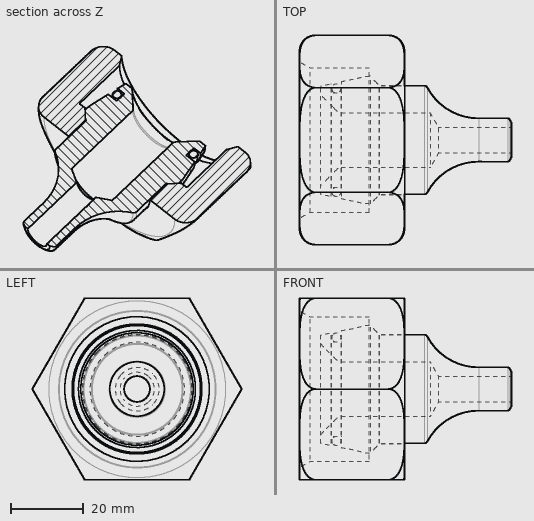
import cadquery as cq
import math


NUT_LENGTH = 29.0
HEX_SIDES = 6
HEX_ACROSS_FLATS = 50.0
HEX_CORNER_DIAMETER = HEX_ACROSS_FLATS / math.cos(math.pi / HEX_SIDES)
HEX_CORNER_ROUNDING = 4.5
THREAD_MINOR_RADIUS = 39.84 / 2
NUT_MOUTH_RADIUS = 21.55
NUT_MOUTH_HALF_ANGLE = math.radians(30)
NUT_MOUTH_ROUNDING = 0.25
NUT_FLOOR_INNER_RADIUS = 17.9
NUT_REAR_HOLE_RADIUS = 30.23 / 2

OVERALL_LENGTH = 58.47
NIPPLE_FACE_X = 5.8
NIPPLE_FACE_RADIUS = 14.9
NIPPLE_FACE_ROUNDING = 0.28
SEAL_CONE_HALF_ANGLE = math.radians(12)
COLLAR_RADIUS = 35 / 2
COLLAR_LENGTH = 1.5
BODY_RADIUS = 30 / 2
STUB_RADIUS = 12 / 2
STUB_LENGTH = 9.1
NECK_ARC_RADIUS = 16.0
SHOULDER_ROUNDING = 1.0
STUB_BEVEL_ANGLE = math.radians(60)
STUB_BEVEL_DEPTH = 1.3
STUB_EDGE_ROUNDING = 0.65

MOUTH_RADIUS = 12.5
MOUTH_ROUNDING = 0.4
BORE_RADIUS = 15 / 2
BORE_EDGE_ROUNDING = 0.8
BORE_START_X = 10.8
BORE_END_X = 36.0
STUB_BORE_RADIUS = 7.04 / 2
DRILL_TIP_HALF_ANGLE = math.radians(60)

GROOVE_START_X = 8.6
GROOVE_WIDTH = 3.0
ORING_SECTION_RADIUS = 1.25
ORING_OUTER_RADIUS = 15.5

COLLAR_START_X = NIPPLE_FACE_X + (COLLAR_RADIUS - NIPPLE_FACE_RADIUS) / math.tan(SEAL_CONE_HALF_ANGLE)
COLLAR_END_X = COLLAR_START_X + COLLAR_LENGTH
NUT_FLOOR_X = COLLAR_END_X - (NUT_FLOOR_INNER_RADIUS - COLLAR_RADIUS)


def revolve_about_x(profile):
    """Turn a closed (x, radius) profile a full revolution about the X axis."""
    return profile.close().revolve(360, (0, 0, 0), (1, 0, 0))


def make_nut():
    blank = cq.Workplane("YZ").polygon(HEX_SIDES, HEX_CORNER_DIAMETER).extrude(NUT_LENGTH)
    rounded_envelope = (
        cq.Workplane("YZ")
        .circle(HEX_CORNER_DIAMETER / 2)
        .extrude(NUT_LENGTH)
        .edges("%CIRCLE")
        .fillet(HEX_CORNER_ROUNDING)
    )
    mouth_depth = (NUT_MOUTH_RADIUS - THREAD_MINOR_RADIUS) / math.tan(NUT_MOUTH_HALF_ANGLE)
    shoulder_end_x = NUT_FLOOR_X + NUT_FLOOR_INNER_RADIUS - NUT_REAR_HOLE_RADIUS
    cavity = revolve_about_x(
        cq.Workplane("XY")
        .lineTo(0, NUT_MOUTH_RADIUS)
        .lineTo(mouth_depth, THREAD_MINOR_RADIUS)
        .lineTo(NUT_FLOOR_X, THREAD_MINOR_RADIUS)
        .lineTo(NUT_FLOOR_X, NUT_FLOOR_INNER_RADIUS)
        .lineTo(shoulder_end_x, NUT_REAR_HOLE_RADIUS)
        .lineTo(NUT_LENGTH, NUT_REAR_HOLE_RADIUS)
        .lineTo(NUT_LENGTH, 0)
    )
    nut = blank.intersect(rounded_envelope).cut(cavity)
    return round_edge(nut, 0, NUT_MOUTH_RADIUS, NUT_MOUTH_ROUNDING)


def round_edge(body, x, radius, rounding):
    """Fillet the circular edge of the given radius in the plane at x."""
    reach = 0.01
    box = cq.selectors.BoxSelector(
        (x - reach, -radius - reach, -radius - reach),
        (x + reach, radius + reach, radius + reach),
        boundingbox=True,
    )
    ring = cq.selectors.RadiusNthSelector(-1)
    return body.edges("%CIRCLE").edges(box).edges(ring).fillet(rounding)


def make_nipple_outside():
    neck_end_x = OVERALL_LENGTH - STUB_LENGTH
    neck_center_radius = STUB_RADIUS + NECK_ARC_RADIUS

    def neck_x(radius):
        return neck_end_x - math.sqrt(NECK_ARC_RADIUS**2 - (neck_center_radius - radius) ** 2)

    shoulder_x = neck_x(BODY_RADIUS)
    neck_middle_radius = (BODY_RADIUS + STUB_RADIUS) / 2
    bevel_start_x = OVERALL_LENGTH - STUB_BEVEL_DEPTH / math.tan(STUB_BEVEL_ANGLE)
    outside = revolve_about_x(
        cq.Workplane("XY")
        .moveTo(NIPPLE_FACE_X, 0)
        .lineTo(NIPPLE_FACE_X, NIPPLE_FACE_RADIUS)
        .lineTo(COLLAR_START_X, COLLAR_RADIUS)
        .lineTo(COLLAR_END_X, COLLAR_RADIUS)
        .lineTo(COLLAR_END_X + COLLAR_RADIUS - BODY_RADIUS, BODY_RADIUS)
        .lineTo(shoulder_x, BODY_RADIUS)
        .threePointArc((neck_x(neck_middle_radius), neck_middle_radius), (neck_end_x, STUB_RADIUS))
        .lineTo(bevel_start_x, STUB_RADIUS)
        .lineTo(OVERALL_LENGTH, STUB_RADIUS - STUB_BEVEL_DEPTH)
        .lineTo(OVERALL_LENGTH, 0)
    )
    outside = round_edge(outside, NIPPLE_FACE_X, NIPPLE_FACE_RADIUS, NIPPLE_FACE_ROUNDING)
    outside = round_edge(outside, shoulder_x, BODY_RADIUS, SHOULDER_ROUNDING)
    return round_edge(outside, bevel_start_x, STUB_RADIUS, STUB_EDGE_ROUNDING)


def make_nipple_bore():
    drill_tip_length = (BORE_RADIUS - STUB_BORE_RADIUS) / math.tan(DRILL_TIP_HALF_ANGLE)
    return revolve_about_x(
        cq.Workplane("XY")
        .moveTo(NIPPLE_FACE_X, 0)
        .lineTo(NIPPLE_FACE_X, MOUTH_RADIUS)
        .lineTo(BORE_START_X, BORE_RADIUS)
        .lineTo(BORE_END_X, BORE_RADIUS)
        .lineTo(BORE_END_X + drill_tip_length, STUB_BORE_RADIUS)
        .lineTo(OVERALL_LENGTH, STUB_BORE_RADIUS)
        .lineTo(OVERALL_LENGTH, 0)
    )


def make_oring_groove():
    bottom_radius = ORING_OUTER_RADIUS - 2 * ORING_SECTION_RADIUS
    return (
        cq.Workplane("YZ", origin=(GROOVE_START_X, 0, 0))
        .circle(COLLAR_RADIUS)
        .circle(bottom_radius)
        .extrude(GROOVE_WIDTH)
    )


def make_nipple():
    nipple = make_nipple_outside().cut(make_nipple_bore())
    nipple = round_edge(nipple, NIPPLE_FACE_X, MOUTH_RADIUS, MOUTH_ROUNDING)
    nipple = round_edge(nipple, BORE_START_X, BORE_RADIUS, BORE_EDGE_ROUNDING)
    return nipple.cut(make_oring_groove())


def make_oring():
    center_x = GROOVE_START_X + GROOVE_WIDTH / 2
    center_radius = ORING_OUTER_RADIUS - ORING_SECTION_RADIUS
    return (
        cq.Workplane("XY")
        .center(center_x, center_radius)
        .circle(ORING_SECTION_RADIUS)
        .revolve(360, (0, -center_radius, 0), (1, -center_radius, 0))
    )


nut = make_nut()
nipple = make_nipple()
oring = make_oring()

result = cq.Compound.makeCompound([nut.val(), nipple.val(), oring.val()])